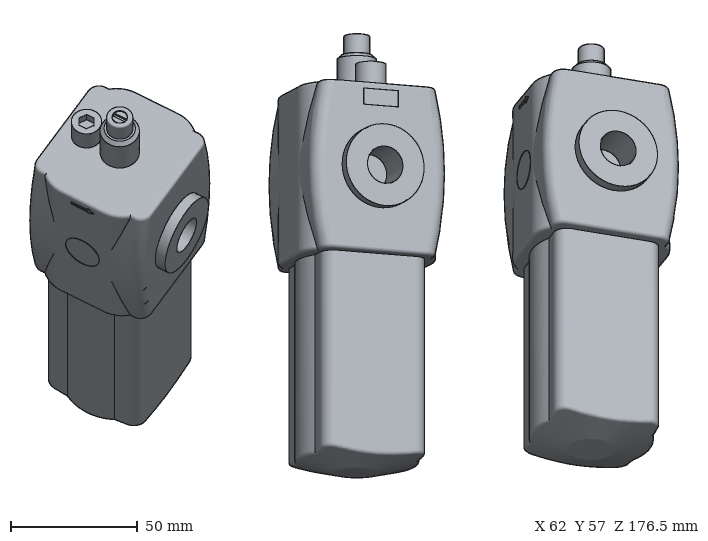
import cadquery as cq
import math


HOUSING_WIDTH = 53.0
HOUSING_DEPTH = 57.0
HOUSING_HEIGHT = 68.1
HOUSING_TOP = HOUSING_HEIGHT / 2
HOUSING_BOTTOM = -HOUSING_TOP
PILLOW_SAG = 4.2
CORNER_RADIUS = 5.0
RIM_RADIUS = 1.5
BAND_FLAT_WIDTH = 19.8
BAND_SHOULDER_RADIUS = 14.3
BAND_SHOULDER_ANGLE = math.radians(60)

LENGTH_OVER_PORTS = 62.0
PORT_FLANGE_DIAMETER = 33.0
PORT_DIAMETER = 15.0
PORT_DEPTH = 17.6
MARK_DEPTH = 0.2
FRONT_MARK_DIAMETER = 15.5
ARROW_LENGTH = 10.6
ARROW_CENTRE_Z = 29.8
ARROW_SHAFT_WIDTH = 1.2
ARROW_HEAD_WIDTH = 2.8
ARROW_HEAD_LENGTH = 2.8
LABEL_WIDTH = 14.6
LABEL_HEIGHT = 6.5
LABEL_CENTRE_Z = 28.0

ADJUSTER_TOP = 58.0
COLLAR_DIAMETER = 15.5
COLLAR_TOP = 50.1
COLLAR_CHAMFER = 1.6
STEM_DIAMETER = 10.5
STEM_RIM_RADIUS = 0.7
STEM_RECESS_DIAMETER = 6.0
STEM_RECESS_DEPTH = 0.5
SLOT_WIDTH = 1.5
SLOT_DEPTH = 0.9

SCREW_X = -15.4
SCREW_TOP = 43.6
SCREW_DIAMETER = 12.0
SOCKET_ACROSS_FLATS = 6.0
SOCKET_DEPTH = 3.5

OVERALL_HEIGHT = 176.5
BOWL_BOTTOM = ADJUSTER_TOP - OVERALL_HEIGHT
BOWL_WIDTH = 44.1
BOWL_FLAT_DEPTH = 43.8
BOWL_BULGE_DEPTH = 49.5
BOWL_BULGE_WIDTH = 21.9
BOWL_CORNER_RADIUS = 5.3
BOWL_TIP_DIAMETER = 19.0
BOWL_CONE_ANGLE = math.radians(15)
BOWL_RIM_RADIUS = 1.5


def pillow_block():
    """Block with front and back curved about X, and rounded corners."""
    y_mid = HOUSING_DEPTH / 2
    y_end = y_mid - PILLOW_SAG
    return (
        cq.Workplane("YZ")
        .moveTo(-y_end, HOUSING_BOTTOM)
        .lineTo(y_end, HOUSING_BOTTOM)
        .threePointArc((y_mid, 0), (y_end, HOUSING_TOP))
        .lineTo(-y_end, HOUSING_TOP)
        .threePointArc((-y_mid, 0), (-y_end, HOUSING_BOTTOM))
        .close()
        .extrude(HOUSING_WIDTH / 2, both=True)
        .edges("(<X or >X) and (<Y or >Y)")
        .fillet(CORNER_RADIUS)
    )


def upright_band():
    """Straight prism whose flat front and back round off into the pillow block."""
    y_face = HOUSING_DEPTH / 2
    x_flat = BAND_FLAT_WIDTH / 2

    def shoulder(angle):
        x = x_flat + BAND_SHOULDER_RADIUS * math.sin(angle)
        y = y_face - BAND_SHOULDER_RADIUS * (1 - math.cos(angle))
        return x, y

    x_half, y_half = shoulder(BAND_SHOULDER_ANGLE / 2)
    x_end, y_end = shoulder(BAND_SHOULDER_ANGLE)
    return (
        cq.Workplane("XY", origin=(0, 0, HOUSING_BOTTOM))
        .moveTo(-x_flat, y_face)
        .lineTo(x_flat, y_face)
        .threePointArc((x_half, y_half), (x_end, y_end))
        .lineTo(x_end, -y_end)
        .threePointArc((x_half, -y_half), (x_flat, -y_face))
        .lineTo(-x_flat, -y_face)
        .threePointArc((-x_half, -y_half), (-x_end, -y_end))
        .lineTo(-x_end, y_end)
        .threePointArc((-x_half, y_half), (-x_flat, y_face))
        .close()
        .extrude(HOUSING_HEIGHT)
    )


def housing_block():
    return (
        pillow_block()
        .union(upright_band())
        .faces("<Z or >Z")
        .edges()
        .fillet(RIM_RADIUS)
    )


def port_flanges():
    return cq.Workplane("YZ").circle(PORT_FLANGE_DIAMETER / 2).extrude(LENGTH_OVER_PORTS / 2, both=True)


def port_bore(side):
    """Blind bore from the -X end (side = -1) or the +X end (side = 1)."""
    return (
        cq.Workplane("YZ", origin=(side * LENGTH_OVER_PORTS / 2, 0, 0))
        .circle(PORT_DIAMETER / 2)
        .extrude(-side * PORT_DEPTH)
    )


def front_marks():
    """Shallow round mark and flow arrow sunk into the front face."""
    front_face = cq.Workplane("XZ", origin=(0, -HOUSING_DEPTH / 2, 0))
    round_mark = front_face.circle(FRONT_MARK_DIAMETER / 2).extrude(-MARK_DEPTH)
    neck_x = ARROW_LENGTH / 2 - ARROW_HEAD_LENGTH
    arrow = (
        front_face.center(0, ARROW_CENTRE_Z)
        .moveTo(-ARROW_LENGTH / 2, ARROW_SHAFT_WIDTH / 2)
        .lineTo(neck_x, ARROW_SHAFT_WIDTH / 2)
        .lineTo(neck_x, ARROW_HEAD_WIDTH / 2)
        .lineTo(ARROW_LENGTH / 2, 0)
        .lineTo(neck_x, -ARROW_HEAD_WIDTH / 2)
        .lineTo(neck_x, -ARROW_SHAFT_WIDTH / 2)
        .lineTo(-ARROW_LENGTH / 2, -ARROW_SHAFT_WIDTH / 2)
        .close()
        .extrude(-MARK_DEPTH)
    )
    return round_mark.union(arrow)


def inlet_label():
    """Shallow rectangular panel above the inlet port."""
    return (
        cq.Workplane("YZ", origin=(-HOUSING_WIDTH / 2, 0, LABEL_CENTRE_Z))
        .rect(LABEL_WIDTH, LABEL_HEIGHT)
        .extrude(MARK_DEPTH)
    )


def adjuster():
    """Chamfered collar carrying a thinner rounded stem with a slotted, recessed end."""
    collar = (
        cq.Workplane("XY")
        .circle(COLLAR_DIAMETER / 2)
        .extrude(COLLAR_TOP)
        .faces(">Z")
        .chamfer(COLLAR_CHAMFER)
    )
    stem = (
        cq.Workplane("XY")
        .circle(STEM_DIAMETER / 2)
        .extrude(ADJUSTER_TOP)
        .faces(">Z")
        .fillet(STEM_RIM_RADIUS)
    )
    stem_end = cq.Workplane("XY", origin=(0, 0, ADJUSTER_TOP))
    recess = stem_end.circle(STEM_RECESS_DIAMETER / 2).extrude(-STEM_RECESS_DEPTH)
    slot_bar = stem_end.rect(STEM_RECESS_DIAMETER, SLOT_WIDTH).extrude(-STEM_RECESS_DEPTH - SLOT_DEPTH)
    slot_limit = stem_end.circle(STEM_RECESS_DIAMETER / 2).extrude(-STEM_RECESS_DEPTH - SLOT_DEPTH)
    slot = slot_bar.intersect(slot_limit)
    return collar.union(stem).cut(recess).cut(slot)


def socket_screw():
    socket_across_corners = SOCKET_ACROSS_FLATS / math.cos(math.radians(30))
    screw = cq.Workplane("XY", origin=(SCREW_X, 0, 0)).circle(SCREW_DIAMETER / 2).extrude(SCREW_TOP)
    socket = (
        cq.Workplane("XY", origin=(SCREW_X, 0, SCREW_TOP))
        .polygon(6, socket_across_corners)
        .extrude(-SOCKET_DEPTH)
    )
    return screw.cut(socket)


def make_housing():
    housing = housing_block().union(port_flanges()).union(adjuster()).union(socket_screw())
    for side in (-1, 1):
        housing = housing.cut(port_bore(side))
    return housing.cut(front_marks()).cut(inlet_label())


def bowl_prism():
    """Rounded rectangle with a bulge on the front and back, down to the bowl bottom."""
    length = HOUSING_BOTTOM - BOWL_BOTTOM
    base = cq.Workplane("XY", origin=(0, 0, BOWL_BOTTOM))
    core = base.rect(BOWL_WIDTH, BOWL_FLAT_DEPTH).extrude(length).edges("|Z").fillet(BOWL_CORNER_RADIUS)
    x_bulge = BOWL_BULGE_WIDTH / 2
    y_flat = BOWL_FLAT_DEPTH / 2
    y_bulge = BOWL_BULGE_DEPTH / 2
    bulges = (
        base.moveTo(-x_bulge, y_flat)
        .threePointArc((0, y_bulge), (x_bulge, y_flat))
        .lineTo(x_bulge, -y_flat)
        .threePointArc((0, -y_bulge), (-x_bulge, -y_flat))
        .close()
        .extrude(length)
    )
    return core.union(bulges)


def bowl_envelope():
    """Turned shape with a conical underside that trims the lower end of the bowl."""
    tip_radius = BOWL_TIP_DIAMETER / 2
    outer_radius = math.hypot(BOWL_WIDTH, BOWL_BULGE_DEPTH) / 2
    cone_rise = (outer_radius - tip_radius) * math.tan(BOWL_CONE_ANGLE)
    return (
        cq.Workplane("XZ")
        .moveTo(0, BOWL_BOTTOM)
        .lineTo(tip_radius, BOWL_BOTTOM)
        .lineTo(outer_radius, BOWL_BOTTOM + cone_rise)
        .lineTo(outer_radius, HOUSING_BOTTOM)
        .lineTo(0, HOUSING_BOTTOM)
        .close()
        .revolve(360, (0, 0, 0), (0, 1, 0))
    )


def make_bowl():
    trimmed = bowl_prism().intersect(bowl_envelope())
    outer_rim = trimmed.faces("%CONE").edges("not (<Z or %LINE)")
    return outer_rim.fillet(BOWL_RIM_RADIUS)


housing = make_housing()
bowl = make_bowl()
result = cq.Compound.makeCompound([housing.val(), bowl.val()])